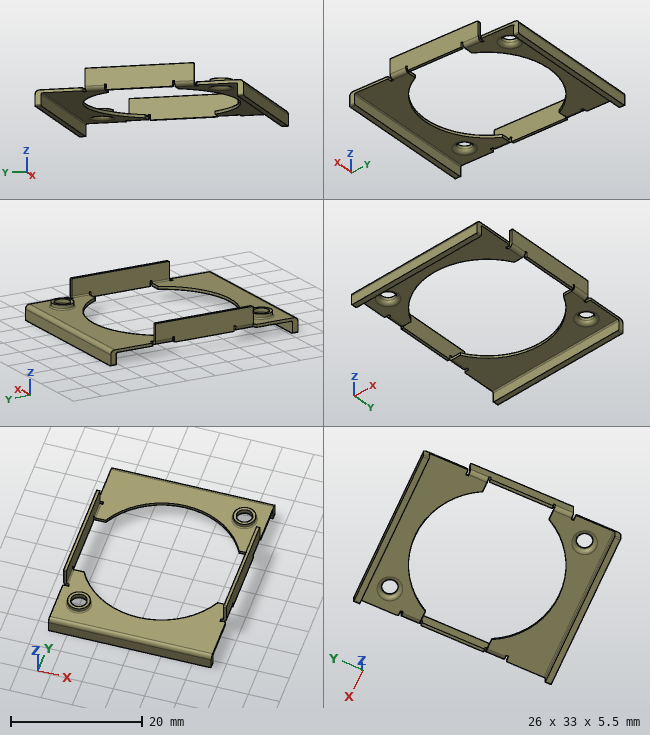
import cadquery as cq

width = 26.0
length = 33.0
height = 5.5

sheet = 0.5
inner_bend = 0.2
outer_bend = sheet + inner_bend
corner_radius = 0.2
plate_bottom = 2.0
plate_top = plate_bottom + sheet

flange_thickness = 1.0

opening_radius = 12.0
arm_end_y = 5.55

tab_length = 17.23
notch_width = 0.4
notch_depth = 0.9
slot_width = 0.3
slot_top = 2.9

boss_x = 9.5
boss_y = 12.0
boss_diameter = 3.5
boss_top = 3.27


def box(x_size, y_size, z_min, z_max):
    """Box centred on X and Y between two heights."""
    return cq.Workplane("XY").workplane(offset=z_min).rect(x_size, y_size).extrude(z_max - z_min)


def make_channel():
    """Flat plate with a rounded, down-turned flange at each Y end."""
    cavity_length = length - 2 * flange_thickness
    cavity = box(width, cavity_length, 0, plate_bottom).edges("|X and >Z").fillet(inner_bend)
    channel = box(width, length, 0, plate_top).edges("|X and >Z").fillet(outer_bend).cut(cavity)
    return channel.edges("|Y and <Z").fillet(corner_radius)


def cut_opening(channel):
    """Round opening, open to both sides between the four arms."""
    opening = cq.Workplane("XY").circle(opening_radius).extrude(height)
    side_gap = box(width, 2 * arm_end_y, 0, height)
    return channel.cut(opening).cut(side_gap)


def cut_side_reliefs(plate):
    """Notches past the tab ends, with the side edges cleared for the bent tabs."""
    notched_length = tab_length + 2 * notch_width
    for side in (-1, 1):
        notch = (
            box(2 * notch_depth, notched_length, 0, height)
            .translate((side * width / 2, 0, 0))
        )
        plate = plate.cut(notch)
    mouth_zone = cq.selectors.BoxSelector(
        (-width, -tab_length / 2 - 2 * notch_width, 0),
        (width, tab_length / 2 + 2 * notch_width, height),
    )
    notch_mouths = plate.edges("|Z").edges(mouth_zone).edges("<X or >X")
    return notch_mouths.fillet(corner_radius)


def make_left_tab():
    """Upright tab bent from the arms, with its free middle span reaching the plate underside."""
    outer_x = -width / 2
    bend_x = outer_x + outer_bend
    arm_x = outer_x + notch_depth
    bend_z = plate_bottom + outer_bend
    profile = (
        cq.Workplane("XZ", origin=(0, tab_length / 2, 0))
        .moveTo(arm_x, plate_bottom)
        .lineTo(bend_x, plate_bottom)
        .radiusArc((outer_x, bend_z), outer_bend)
        .lineTo(outer_x, height)
        .lineTo(outer_x + sheet, height)
        .lineTo(outer_x + sheet, bend_z)
        .radiusArc((bend_x, plate_top), -inner_bend)
        .lineTo(arm_x, plate_top)
        .close()
    )
    tab = profile.extrude(tab_length).edges("|X and >Z").fillet(corner_radius)

    middle_center = (outer_x + sheet / 2, 0, 0)
    bend_gap = box(2 * notch_depth, 2 * arm_end_y, 0, slot_top).translate((outer_x, 0, 0))
    middle = box(sheet, 2 * arm_end_y, plate_bottom, slot_top).translate(middle_center)
    tab = tab.cut(bend_gap).union(middle)

    slot_radius = slot_width / 2
    slot_y = arm_end_y - slot_radius
    arc_z = slot_top - slot_radius
    for side in (-1, 1):
        slot = (
            cq.Workplane("YZ", origin=(outer_x, side * slot_y, 0))
            .moveTo(-slot_radius, 0)
            .lineTo(-slot_radius, arc_z)
            .threePointArc((0, slot_top), (slot_radius, arc_z))
            .lineTo(slot_radius, 0)
            .close()
            .extrude(sheet)
        )
        tab = tab.cut(slot)
    return tab


def make_boss():
    """Drawn collar of constant sheet thickness, curving out of the plate around an open hole."""
    outer_radius = boss_diameter / 2
    hole_radius = outer_radius - sheet
    bend_radius = outer_radius + inner_bend
    bend_z = plate_top + inner_bend
    return (
        cq.Workplane("XZ")
        .moveTo(bend_radius, plate_bottom)
        .lineTo(bend_radius, plate_top)
        .radiusArc((outer_radius, bend_z), inner_bend)
        .lineTo(outer_radius, boss_top)
        .lineTo(hole_radius, boss_top)
        .lineTo(hole_radius, bend_z)
        .radiusArc((bend_radius, plate_bottom), -outer_bend)
        .close()
        .revolve(360, (0, 0, 0), (0, 1, 0))
    )


result = cut_side_reliefs(cut_opening(make_channel()))

left_tab = make_left_tab()
result = result.union(left_tab).union(left_tab.mirror("YZ"))

boss = make_boss()
boss_opening = cq.Workplane("XY").circle(boss_diameter / 2 + inner_bend).extrude(height)
for side in (-1, 1):
    boss_position = (side * boss_x, side * boss_y, 0)
    result = result.cut(boss_opening.translate(boss_position)).union(boss.translate(boss_position))